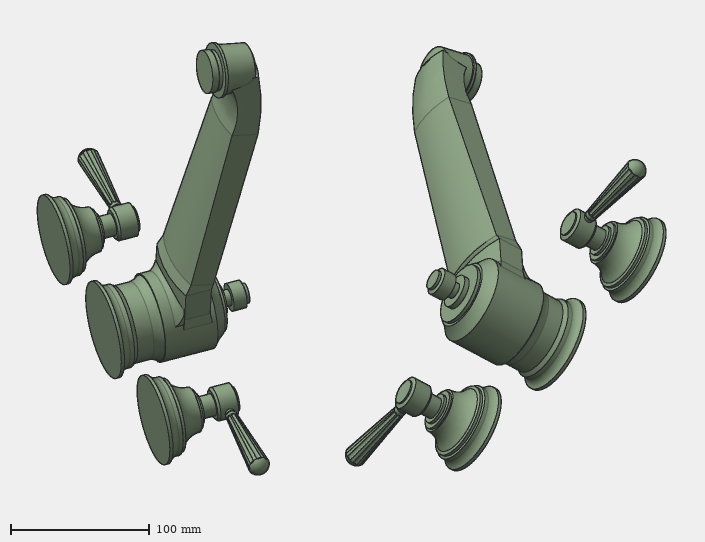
import cadquery as cq
import math


FLANGE_RADIUS = 36.3
FLANGE_THICKNESS = 2.5
FLARE_MIDDLE = (32.7, 5.0)
BEAD_RADIUS = 31.3
BEAD_FRONT = 8.5
BEAD_BACK = 12.2
NECK_RADIUS = 29.0
NECK_FRONT = 15.5
NECK_BACK = 28.0
SHOULDER_MIDDLE = (30.2, 32.0)
SHOULDER_RADIUS = 32.0
BODY_RADIUS = 33.0
BODY_FRONT = 35.5
BODY_BACK = 76.0
CAP_MIDDLE = (28.8, 79.8)
CAP_EDGE_RADIUS = 25.0
CAP_FACE = 84.5
CAP_LIP_RADIUS = 23.0
CAP_LIP_BACK = 87.0
BONNET_RADIUS = 12.5
BONNET_BACK = 91.0
KNOB_STEM_RADIUS = 6.0
KNOB_FRONT = 97.0
KNOB_RADIUS = 10.5
KNOB_SHOULDER = 107.0
KNOB_END_RADIUS = 7.5
KNOB_END_FRONT = 108.0
KNOB_END_BACK = 110.5

FOOT_HALF_WIDTH = 30.0
FOOT_SECTION = (50.0, 8.5, 22.5, 0, 31.5, 3.5)
ANKLE_SECTION = (51.5, 19.0, 19.8, 0, FOOT_HALF_WIDTH, 3.5)
KNEE_SECTION = (52.5, 42.0, 19.8, 0, 29.5, 4.3)
SHANK_BOTTOM_SECTION = (56.8, 50.0, 18.0, 15, 28.5, 4.5)
SHANK_TOP_SECTION = (91.3, 180.8, 21.0, 15, 21.2, 3.2)
BEND_SECTION = (96.3, 205.0, 18.5, 4, 19.0, 3.2)
HEAD_SECTION = (91.0, 226.5, 22.5, -4, 17.0, 3.0)

COVE_FRONT = 41.0
COVE_BACK = 51.5
COVE_HEIGHT = 6.5

OUTLET_Y = 88.5
OUTLET_Z = 228.2
HEAD_LEAN = 8
HEAD_FRONT_RADIUS = 18.7
HEAD_BACK_RADIUS = 17.0
HEAD_LENGTH = 22.3
HEAD_CROWN = 5.0
CROWN_MIDDLE = (HEAD_BACK_RADIUS / 2, HEAD_LENGTH + 0.75 * HEAD_CROWN)
RING_RADIUS = 20.0
RING_THICKNESS = 2.0
AERATOR_RADIUS = 15.8
AERATOR_NECK_RADIUS = 15.0
AERATOR_NECK_LENGTH = 3.0
AERATOR_LENGTH = 8.3

HANDLE_X = 101.7
HANDLE_FLANGE_RADIUS = 33.5
HANDLE_FLARE_MIDDLE = (31.0, 5.0)
HANDLE_BEAD_RADIUS = 29.5
HANDLE_BEAD_BACK = 12.0
BELL_STEP_RADIUS = 27.5
BELL_STEP_FRONT = 12.5
BELL_STEP_BACK = 14.7
BELL_FRONT_RADIUS = 25.0
BELL_FRONT = 15.5
BELL_MIDDLE = (19.5, 22.0)
BELL_BACK_RADIUS = 17.0
BELL_BACK = 31.3
COLLAR_RADIUS = 15.0
COLLAR_BACK = 33.0
STEM_SEAT_RADIUS = 11.5
STEM_SEAT_BACK = 35.2
HANDLE_STEM_RADIUS = 8.3
HUB_RADIUS = 12.5
HUB_FRONT_RADIUS = 10.8
HUB_FRONT = 45.5
HUB_FRONT_SHOULDER = 47.5
HUB_BACK_SHOULDER = 61.0
HUB_BUTTON_RADIUS = 9.5
HUB_BUTTON_FRONT = 62.0
HUB_BACK = 63.3
LEVER_Y = 54.3
LEVER_REACH = 179.7 - HANDLE_X
LEVER_NECK_RADIUS = 3.5
LEVER_NECK_END = 14.7
LEVER_ROOT_RADIUS = 4.3
LEVER_END_RADIUS = 8.0
LEVER_FLUTE_START = 18.0
LEVER_TIP_LENGTH = 5.8
LEVER_TIP_MIDDLE = (LEVER_REACH - 1.5, 4.5)
FLUTE_COUNT = 8
FLUTE_DEPTH = 0.7
FLUTE_ROOT_RADIUS = 1.5
FLUTE_END_RADIUS = 3.0

Y_AXIS = ((0, 0, 0), (0, 1, 0))


def make_turned_body():
    """Flange, neck, barrel, back cap and the small knob behind it."""
    profile = (
        cq.Workplane("XY")
        .lineTo(FLANGE_RADIUS, 0)
        .lineTo(FLANGE_RADIUS, FLANGE_THICKNESS)
        .threePointArc(FLARE_MIDDLE, (BEAD_RADIUS, BEAD_FRONT))
        .lineTo(BEAD_RADIUS, BEAD_BACK)
        .lineTo(NECK_RADIUS, NECK_FRONT)
        .lineTo(NECK_RADIUS, NECK_BACK)
        .threePointArc(SHOULDER_MIDDLE, (SHOULDER_RADIUS, BODY_FRONT))
        .lineTo(BODY_RADIUS, BODY_FRONT)
        .lineTo(BODY_RADIUS, BODY_BACK)
        .threePointArc(CAP_MIDDLE, (CAP_EDGE_RADIUS, CAP_FACE))
        .lineTo(CAP_LIP_RADIUS, CAP_FACE)
        .lineTo(CAP_LIP_RADIUS, CAP_LIP_BACK)
        .lineTo(BONNET_RADIUS, CAP_LIP_BACK)
        .lineTo(BONNET_RADIUS, BONNET_BACK)
        .lineTo(KNOB_STEM_RADIUS, BONNET_BACK)
        .lineTo(KNOB_STEM_RADIUS, KNOB_FRONT)
        .lineTo(KNOB_RADIUS, KNOB_FRONT)
        .lineTo(KNOB_RADIUS, KNOB_SHOULDER)
        .lineTo(KNOB_END_RADIUS, KNOB_END_FRONT)
        .lineTo(KNOB_END_RADIUS, KNOB_END_BACK)
        .lineTo(0, KNOB_END_BACK)
        .close()
    )
    return profile.revolve(360, *Y_AXIS)


def arm_section(front_y, front_z, depth, lean, half_width, bulge):
    """Wire with flat sides and bulging front and back, square to an arm that leans toward +Y."""
    angle = math.radians(lean)
    plane = cq.Plane((0, front_y, front_z), (1, 0, 0), (0, math.sin(angle), math.cos(angle)))
    return (
        cq.Workplane(plane)
        .moveTo(-half_width, 0)
        .threePointArc((0, -bulge), (half_width, 0))
        .lineTo(half_width, depth)
        .threePointArc((0, depth + bulge), (-half_width, depth))
        .close()
        .val()
    )


def loft_sections(sections, ruled):
    wires = [arm_section(*section) for section in sections]
    return cq.Workplane(cq.Solid.makeLoft(wires, ruled))


def make_arm():
    lower = loft_sections(
        [FOOT_SECTION, ANKLE_SECTION, KNEE_SECTION, SHANK_BOTTOM_SECTION, SHANK_TOP_SECTION], True
    )
    bend = loft_sections([SHANK_TOP_SECTION, BEND_SECTION, HEAD_SECTION], False)
    return lower.union(bend)


def make_cove():
    """Concave blend, turned about the body axis and kept only across the arm."""
    rise = COVE_BACK - COVE_FRONT
    slant = math.sqrt(0.5)
    ring = (
        cq.Workplane("XY")
        .moveTo(0, COVE_FRONT)
        .lineTo(BODY_RADIUS, COVE_FRONT)
        .threePointArc(
            (BODY_RADIUS + COVE_HEIGHT * (1 - slant), COVE_FRONT + rise * slant),
            (BODY_RADIUS + COVE_HEIGHT, COVE_BACK),
        )
        .lineTo(0, COVE_BACK)
        .close()
        .revolve(360, *Y_AXIS)
    )
    keep = cq.Workplane("XY").box(
        2 * FOOT_HALF_WIDTH, 2 * COVE_BACK, 2 * BODY_RADIUS, centered=(True, True, False)
    )
    return ring.intersect(keep)


def head_frame(workplane):
    """Carry a shape built about +Y at the origin to the leaning head axis."""
    return workplane.rotate((0, 0, 0), (1, 0, 0), -HEAD_LEAN).translate((0, OUTLET_Y, OUTLET_Z))


def make_head():
    """Domed cone behind the ring, then the ring and the aerator in front of it."""
    crown_end = HEAD_LENGTH + HEAD_CROWN
    ring_front = -RING_THICKNESS
    neck_front = ring_front - AERATOR_NECK_LENGTH
    aerator_front = ring_front - AERATOR_LENGTH
    profile = (
        cq.Workplane("XY")
        .moveTo(0, aerator_front)
        .lineTo(AERATOR_RADIUS, aerator_front)
        .lineTo(AERATOR_RADIUS, neck_front)
        .lineTo(AERATOR_NECK_RADIUS, neck_front)
        .lineTo(AERATOR_NECK_RADIUS, ring_front)
        .lineTo(RING_RADIUS, ring_front)
        .lineTo(RING_RADIUS, 0)
        .lineTo(HEAD_FRONT_RADIUS, 0)
        .lineTo(HEAD_BACK_RADIUS, HEAD_LENGTH)
        .threePointArc(CROWN_MIDDLE, (0, crown_end))
        .close()
    )
    return head_frame(profile.revolve(360, *Y_AXIS))


def make_spout():
    return make_turned_body().union(make_arm()).union(make_cove()).union(make_head())


def make_handle_post():
    """Bell, stem and hub, turned about Y through the origin."""
    profile = (
        cq.Workplane("XY")
        .lineTo(HANDLE_FLANGE_RADIUS, 0)
        .lineTo(HANDLE_FLANGE_RADIUS, FLANGE_THICKNESS)
        .threePointArc(HANDLE_FLARE_MIDDLE, (HANDLE_BEAD_RADIUS, BEAD_FRONT))
        .lineTo(HANDLE_BEAD_RADIUS, HANDLE_BEAD_BACK)
        .lineTo(BELL_STEP_RADIUS, BELL_STEP_FRONT)
        .lineTo(BELL_STEP_RADIUS, BELL_STEP_BACK)
        .lineTo(BELL_FRONT_RADIUS, BELL_FRONT)
        .threePointArc(BELL_MIDDLE, (BELL_BACK_RADIUS, BELL_BACK))
        .lineTo(COLLAR_RADIUS, BELL_BACK)
        .lineTo(COLLAR_RADIUS, COLLAR_BACK)
        .lineTo(STEM_SEAT_RADIUS, COLLAR_BACK)
        .lineTo(STEM_SEAT_RADIUS, STEM_SEAT_BACK)
        .lineTo(HANDLE_STEM_RADIUS, STEM_SEAT_BACK)
        .lineTo(HANDLE_STEM_RADIUS, HUB_FRONT)
        .lineTo(HUB_FRONT_RADIUS, HUB_FRONT)
        .lineTo(HUB_RADIUS, HUB_FRONT_SHOULDER)
        .lineTo(HUB_RADIUS, HUB_BACK_SHOULDER)
        .lineTo(HUB_BUTTON_RADIUS, HUB_BUTTON_FRONT)
        .lineTo(HUB_BUTTON_RADIUS, HUB_BACK)
        .lineTo(0, HUB_BACK)
        .close()
    )
    return profile.revolve(360, *Y_AXIS)


def make_lever():
    """Fluted tapered grip with a domed tip, pointing along +X."""
    tip_start = LEVER_REACH - LEVER_TIP_LENGTH
    grip = (
        cq.Workplane("XY")
        .lineTo(0, LEVER_NECK_RADIUS)
        .lineTo(LEVER_NECK_END, LEVER_NECK_RADIUS)
        .lineTo(LEVER_NECK_END, LEVER_ROOT_RADIUS)
        .lineTo(LEVER_FLUTE_START, LEVER_ROOT_RADIUS)
        .lineTo(tip_start, LEVER_END_RADIUS)
        .threePointArc(LEVER_TIP_MIDDLE, (LEVER_REACH, 0))
        .close()
        .revolve(360, (0, 0, 0), (1, 0, 0))
    )
    root_centre = LEVER_ROOT_RADIUS - FLUTE_DEPTH + FLUTE_ROOT_RADIUS
    end_centre = LEVER_END_RADIUS - FLUTE_DEPTH + FLUTE_END_RADIUS
    length = tip_start - LEVER_FLUTE_START
    slope = (end_centre - root_centre) / length
    root = cq.Vector(LEVER_FLUTE_START, root_centre, 0)
    axis = cq.Vector(1, slope, 0)
    cutter = cq.Solid.makeCone(FLUTE_ROOT_RADIUS, FLUTE_END_RADIUS, length, root, axis)
    for index in range(FLUTE_COUNT):
        turned = cutter.rotate(cq.Vector(0, 0, 0), cq.Vector(1, 0, 0), index * 360 / FLUTE_COUNT)
        grip = grip.cut(cq.Workplane(turned))
    return grip.translate((0, LEVER_Y, 0))


def make_handle(side):
    """Handle on the given side of the spout: +1 for +X, -1 for -X, lever pointing outward."""
    lever = make_lever()
    if side < 0:
        lever = lever.mirror("YZ")
    return make_handle_post().union(lever).translate((side * HANDLE_X, 0, 0))


spout = make_spout()
handles = [make_handle(side) for side in (-1, 1)]

result = cq.Compound.makeCompound([spout.val(), *[handle.val() for handle in handles]])